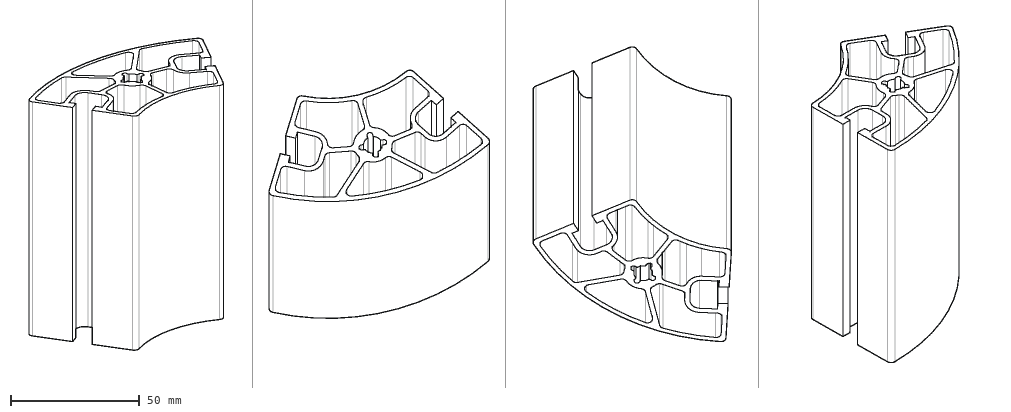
import cadquery as cq
import math


length = 100.0

inner_radius = 45.0
outer_radius = 90.0
sector_angle = 60.0
outer_corner_radius = 2.0
face_wall = 2.0
arc_wall = 1.9

slot_opening = 8.0
slot_width = 13.5
slot_depth = 15.0
slot_wall = 2.0
lip_thickness = 4.0
slot_corner_radius = 4.0

core_radius = 7.5
spoke_thickness = 2.0
outer_spoke_angle = 45.0
slot_spoke_angle = 100.0
inner_spoke_angle = 180.0
outer_spoke_reach = 40.0
slot_spoke_reach = 18.0
slot_spoke_offset = spoke_thickness / 2
inner_spoke_reach = 30.0

cell_corner_radius = 2.0

bore_radius = 3.6
notch_width = 2.2
notch_reach = 5.5

middle_radius = (inner_radius + outer_radius) / 2
half_angle = sector_angle / 2
cut_margin = 1.0


def turn(body, angle):
    return body.rotate((0, 0, 0), (0, 0, 1), angle)


def place_at_core(body):
    return body.translate((middle_radius, 0, 0))


def sector(small_radius, large_radius, inset):
    """Ring sector symmetric about +X, with its flat sides moved inward by the inset."""

    def corner(radius, side):
        angle = math.radians(half_angle) - math.asin(inset / radius)
        return (radius * math.cos(angle), side * radius * math.sin(angle))

    return (
        cq.Workplane("XY")
        .moveTo(*corner(small_radius, -1))
        .lineTo(*corner(large_radius, -1))
        .threePointArc((large_radius, 0), corner(large_radius, 1))
        .lineTo(*corner(small_radius, 1))
        .threePointArc((small_radius, 0), corner(small_radius, -1))
        .close()
        .extrude(length)
    )


def face_recess(width, depth):
    """Block reaching the given depth into a flat face lying on Y = 0."""
    center_y = (depth - cut_margin) / 2
    return (
        cq.Workplane("XY")
        .center(middle_radius, center_y)
        .rect(width, depth + cut_margin)
        .extrude(length)
    )


def rounded_recess(width, depth, corner_radius):
    return face_recess(width, depth).edges("|Z and >Y").fillet(corner_radius)


def on_both_faces(body):
    """Copy a body built against Y = 0 to both flat faces of the sector."""
    lower = turn(body, -half_angle)
    return lower.union(lower.mirror("XZ"))


def slot():
    lips = face_recess(slot_width, lip_thickness)
    chamber = rounded_recess(slot_width, slot_depth, slot_corner_radius).cut(lips)
    opening = face_recess(slot_opening, lip_thickness)
    return chamber.union(opening)


def slot_housing():
    return rounded_recess(
        slot_width + 2 * slot_wall,
        slot_depth + slot_wall,
        slot_corner_radius + slot_wall,
    )


def spoke(angle, reach, offset=0):
    """Bar leaving the core at the given angle, shifted sideways by the offset."""
    bar = (
        cq.Workplane("XY")
        .center(reach / 2, offset)
        .rect(reach, spoke_thickness)
        .extrude(length)
    )
    return place_at_core(turn(bar, angle))


def framework():
    """Everything solid between the outer walls: slot housings, core and spokes."""
    frame = place_at_core(cq.Workplane("XY").circle(core_radius).extrude(length))
    frame = frame.union(on_both_faces(slot_housing()))
    frame = frame.union(spoke(inner_spoke_angle, inner_spoke_reach))
    for side in (-1, 1):
        frame = frame.union(spoke(side * outer_spoke_angle, outer_spoke_reach))
        slot_spoke = spoke(side * slot_spoke_angle, slot_spoke_reach, -side * slot_spoke_offset)
        frame = frame.union(slot_spoke)
    return frame


def round_cell(cell):
    """Round only the inside corners of a cell: shrink its outline, then grow it back."""
    outline = cq.Workplane("XY").add(cell.faces("<Z").outerWire()).toPending()
    return outline.offset2D(-cell_corner_radius).offset2D(cell_corner_radius).extrude(length)


def hollow_cells():
    """The five rounded cells left between the outer walls and the framework."""
    space = sector(inner_radius + arc_wall, outer_radius - arc_wall, face_wall)
    cells = cq.Workplane("XY")
    for cell in space.cut(framework()).solids().vals():
        cells = cells.union(round_cell(cell))
    return cells


def core_hole():
    hole = cq.Workplane("XY").circle(bore_radius).extrude(length)
    for angle in (0, 90):
        notches = (
            cq.Workplane("XY")
            .slot2D(2 * notch_reach, notch_width, angle)
            .extrude(length)
        )
        hole = hole.union(notches)
    return place_at_core(hole)


outline = sector(inner_radius, outer_radius, 0).edges("|Z").fillet(outer_corner_radius)
profile = (
    outline
    .cut(hollow_cells())
    .cut(on_both_faces(slot()))
    .cut(core_hole())
)
result = turn(profile, 180 - half_angle)